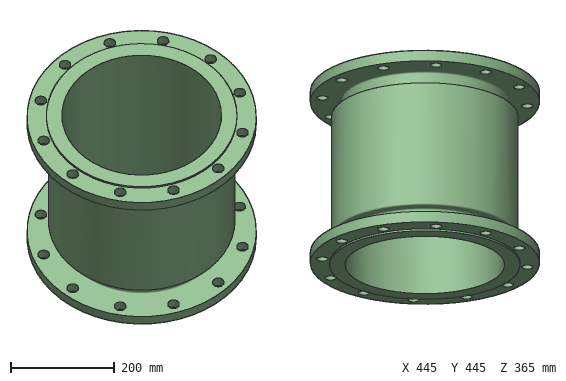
import cadquery as cq

flange_diameter = 445.0
flange_thickness = 22.0
flange_root_fillet = 3.0
raised_face_diameter = 370.0
raised_face_height = 4.0

bolt_count = 12
bolt_circle_diameter = 400.0
bolt_hole_diameter = 22.0

overall_length = 365.0
bore_diameter = 309.7
neck_diameter = 323.9
body_diameter = 363.0
body_length = 255.0
body_rim_radius = 3.0
body_root_fillet = 3.0

face_z = overall_length / 2
flange_outer_z = face_z - raised_face_height
flange_inner_z = flange_outer_z - flange_thickness
body_end_z = body_length / 2

bore_radius = bore_diameter / 2
neck_radius = neck_diameter / 2
body_radius = body_diameter / 2
flange_radius = flange_diameter / 2
raised_face_radius = raised_face_diameter / 2


def make_turned_part():
    """Bored pipe with its body and both flanges, revolved about the Z axis.

    The outline runs up the outside from the lower face to the upper face.
    """
    outline = (
        cq.Workplane("XZ")
        .moveTo(bore_radius, -face_z)
        .lineTo(raised_face_radius, -face_z)
        .lineTo(raised_face_radius, -flange_outer_z)
        .lineTo(flange_radius, -flange_outer_z)
        .lineTo(flange_radius, -flange_inner_z)
        .lineTo(neck_radius + flange_root_fillet, -flange_inner_z)
        .radiusArc((neck_radius, -flange_inner_z + flange_root_fillet), flange_root_fillet)
        .lineTo(neck_radius, -body_end_z - body_root_fillet)
        .radiusArc((neck_radius + body_root_fillet, -body_end_z), body_root_fillet)
        .lineTo(body_radius - body_rim_radius, -body_end_z)
        .radiusArc((body_radius, -body_end_z + body_rim_radius), -body_rim_radius)
        .lineTo(body_radius, body_end_z - body_rim_radius)
        .radiusArc((body_radius - body_rim_radius, body_end_z), -body_rim_radius)
        .lineTo(neck_radius + body_root_fillet, body_end_z)
        .radiusArc((neck_radius, body_end_z + body_root_fillet), body_root_fillet)
        .lineTo(neck_radius, flange_inner_z - flange_root_fillet)
        .radiusArc((neck_radius + flange_root_fillet, flange_inner_z), flange_root_fillet)
        .lineTo(flange_radius, flange_inner_z)
        .lineTo(flange_radius, flange_outer_z)
        .lineTo(raised_face_radius, flange_outer_z)
        .lineTo(raised_face_radius, face_z)
        .lineTo(bore_radius, face_z)
        .close()
    )
    return outline.revolve(360, (0, 0, 0), (0, 1, 0))


def make_bolt_holes():
    """Cutters through both flanges, half a pitch off the X and Y axes."""
    half_pitch = 180 / bolt_count
    return (
        cq.Workplane("XY", origin=(0, 0, -face_z))
        .polarArray(bolt_circle_diameter / 2, half_pitch, 360, bolt_count)
        .circle(bolt_hole_diameter / 2)
        .extrude(overall_length)
    )


result = make_turned_part().cut(make_bolt_holes())